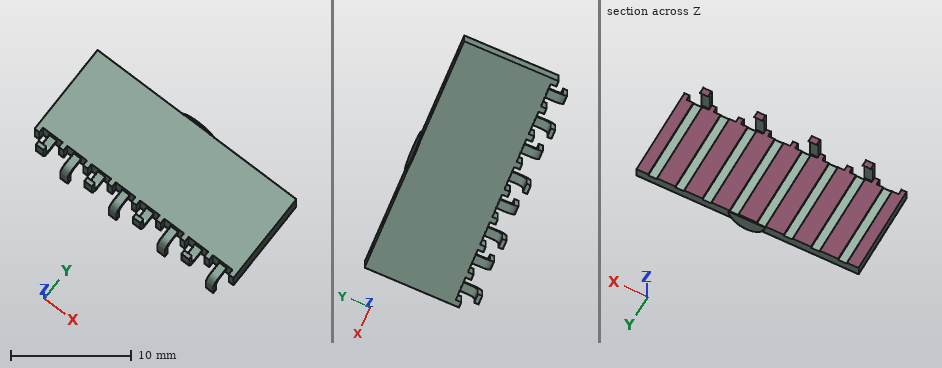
import cadquery as cq

contact_count = 8
pitch = 2.55
rib_width = 0.5
rib_depth = 0.5
housing_length = contact_count * pitch + rib_width
housing_depth = 8.02
housing_height = 2.45

slot_size = 0.8
contact_width = slot_size
contact_thickness = 0.4
contact_reach = 1.77
contact_span = 5.17
inner_bend_radius = 0.62
outer_bend_radius = 0.81

disc_diameter = 3.5
disc_thickness = 0.12

contact_positions = [(index - (contact_count - 1) / 2) * pitch for index in range(contact_count)]
rib_positions = [(index - contact_count / 2) * pitch for index in range(contact_count + 1)]


def make_block():
    """Plain housing block between the recessed front wall and the back face."""
    return cq.Workplane("XY").box(
        housing_length, housing_depth, housing_height, centered=(True, False, True)
    )


def make_rib(x):
    """Full-height divider standing forward of the front wall."""
    return (
        cq.Workplane("XY")
        .box(rib_width, rib_depth, housing_height, centered=(True, False, True))
        .translate((x, -rib_depth, 0))
    )


def make_slot(x):
    """Square passage through the full depth of the block."""
    return (
        cq.Workplane("XY")
        .box(slot_size, housing_depth, slot_size, centered=(True, False, True))
        .translate((x, 0, 0))
    )


def make_contact(x, direction):
    """Flat strip through the slot with its tail bent up (direction 1) or down (direction -1)."""
    half_thickness = contact_thickness / 2
    tail_front = -contact_reach
    tail_back = tail_front + contact_thickness
    tail_end = direction * contact_span / 2
    inner_face = direction * half_thickness
    outer_face = -inner_face
    strip = (
        cq.Workplane("YZ")
        .moveTo(housing_depth, inner_face)
        .lineTo(tail_back + inner_bend_radius, inner_face)
        .radiusArc((tail_back, inner_face + direction * inner_bend_radius), direction * inner_bend_radius)
        .lineTo(tail_back, tail_end)
        .lineTo(tail_front, tail_end)
        .lineTo(tail_front, outer_face + direction * outer_bend_radius)
        .radiusArc((tail_front + outer_bend_radius, outer_face), -direction * outer_bend_radius)
        .lineTo(housing_depth, outer_face)
        .close()
        .extrude(contact_width / 2, both=True)
    )
    return strip.translate((x, 0, 0))


def make_housing():
    """Housing with ribs, slots and the contacts joined to the side walls of their slots."""
    housing = make_block()
    for x in rib_positions:
        housing = housing.union(make_rib(x))
    for x in contact_positions:
        housing = housing.cut(make_slot(x))
    for index, x in enumerate(contact_positions):
        direction = 1 if index % 2 == 0 else -1
        housing = housing.union(make_contact(x, direction))
    return housing


def make_disc():
    """Thin round disc lying centred against the back face."""
    return (
        cq.Workplane("XZ", origin=(0, housing_depth, 0))
        .circle(disc_diameter / 2)
        .extrude(-disc_thickness)
    )


housing = make_housing()
disc = make_disc()

result = cq.Compound.makeCompound([housing.val(), disc.val()])